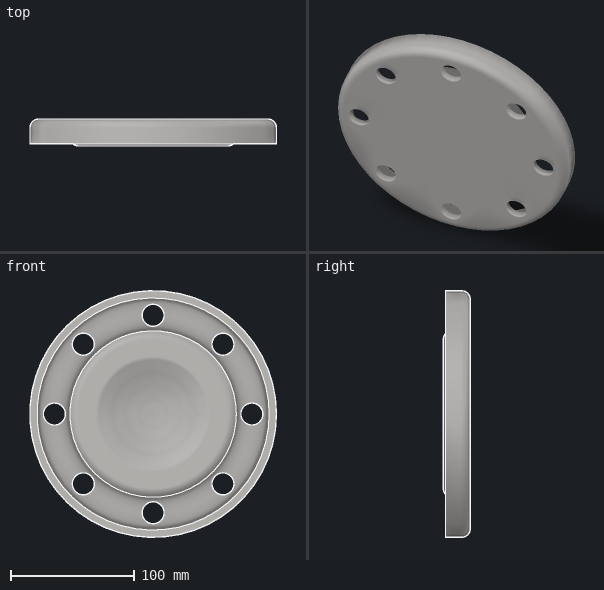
import cadquery as cq
import math

flange_radius = 100.0
total_depth = 22.0
hub_projection = 1.8
edge_radius = 7.0

rim_inner_radius = 94.0
hub_radius = 67.5
web_thickness = 6.0

sphere_radius = 90.0
dish_radius = 43.5
lip_radius = 6.8

hole_count = 8
hole_circle_radius = 80.0
hole_diameter = 17.5

front_y = -total_depth / 2
back_y = total_depth / 2
rim_y = front_y + hub_projection
web_y = back_y - web_thickness

edge_angle = math.asin(dish_radius / sphere_radius)
lip_y = front_y + lip_radius * (1 - math.cos(edge_angle))
sphere_center_y = lip_y - sphere_radius * math.cos(edge_angle)
dish_bottom_y = sphere_center_y + sphere_radius
dish_middle = (
    sphere_radius * math.sin(edge_angle / 2),
    sphere_center_y + sphere_radius * math.cos(edge_angle / 2),
)

lip_outer_radius = dish_radius + lip_radius * math.sin(edge_angle)
lip_middle = (
    lip_outer_radius - lip_radius * math.sin(edge_angle / 2),
    front_y + lip_radius * (1 - math.cos(edge_angle / 2)),
)

corner_inset = edge_radius * (1 - math.sqrt(0.5))


def revolved_body():
    """Turn the half section (radius, Y) around the Y axis."""
    section = (
        cq.Workplane("XY")
        .moveTo(0, dish_bottom_y)
        .threePointArc(dish_middle, (dish_radius, lip_y))
        .threePointArc(lip_middle, (lip_outer_radius, front_y))
        .lineTo(hub_radius - edge_radius, front_y)
        .threePointArc(
            (hub_radius - corner_inset, front_y + corner_inset),
            (hub_radius, front_y + edge_radius),
        )
        .lineTo(hub_radius, web_y)
        .lineTo(rim_inner_radius, web_y)
        .lineTo(rim_inner_radius, rim_y)
        .lineTo(flange_radius, rim_y)
        .lineTo(flange_radius, back_y - edge_radius)
        .threePointArc(
            (flange_radius - corner_inset, back_y - corner_inset),
            (flange_radius - edge_radius, back_y),
        )
        .lineTo(0, back_y)
        .close()
    )
    return section.revolve(360, (0, 0, 0), (0, 1, 0))


def bolt_holes():
    """Ring of cylinders that pass through the web."""
    return (
        cq.Workplane("XZ", origin=(0, back_y, 0))
        .polarArray(hole_circle_radius, 0, 360, hole_count)
        .circle(hole_diameter / 2)
        .extrude(total_depth)
    )


result = revolved_body().cut(bolt_holes())